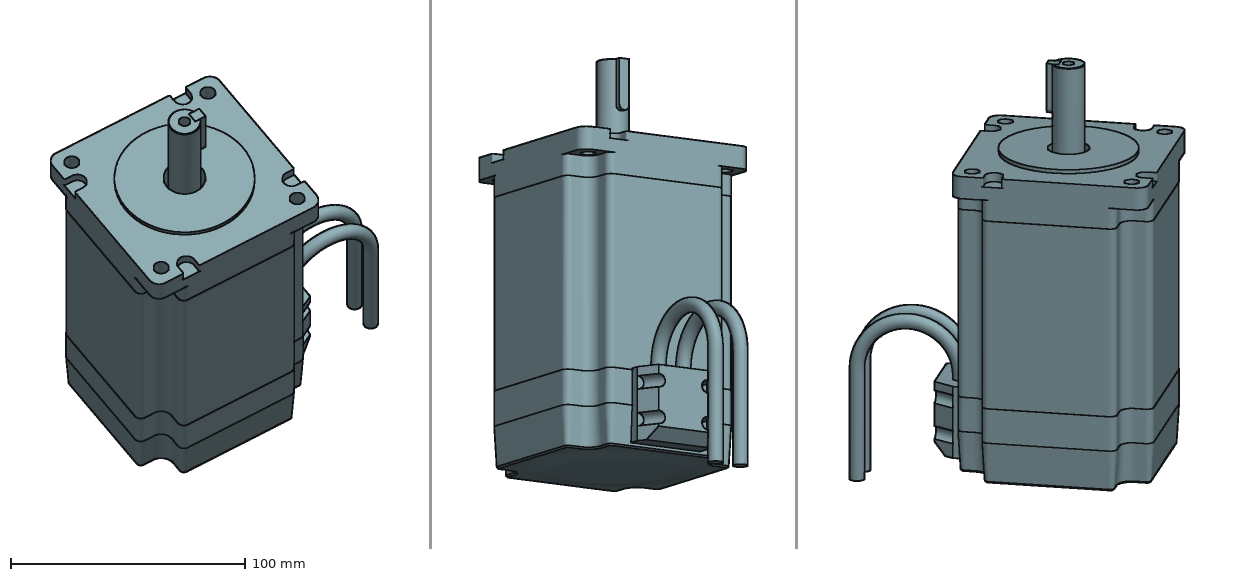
import cadquery as cq
import math

shaft_top = 39.7
boss_top = 1.7
flange_bottom = -10.0
stator_top = -19.3
stator_bottom = -103.7
cover_top = -119.1
cover_bottom = -137.5
cable_end = -151.2

body_width = 85.3
stator_width = 85.1
hole_spacing = 69.5
hole_diameter = 6.5
flange_corner_radius = 5.0
relief_radius = 5.3
wing_radius = 3.0
cover_rim = 0.5
cover_taper = 3.5
cover_edge_chamfer = 0.8

boss_diameter = 60.0
bore_diameter = 18.0
notch_width = 8.0
notch_length = 8.0
notch_depth = 4.0
notch_offset = 24.5
notch_edge_radius = 0.5

rear_boss_base_radius = 38.2
rear_boss_end_radius = 27.0
rear_boss_height = 1.1

shaft_diameter = 14.0
shaft_chamfer = 0.29
centre_hole_diameter = 5.0
centre_hole_depth = 9.5
drill_point_angle = 118
key_width = 5.0
key_height = 5.3
key_length = 22.5
key_floor = 3.8

connector_top = -103.0
connector_bottom = -135.3
connector_half_width = 17.5
connector_half_nose = 12.6
connector_shoulder = 46.8
connector_nose = 56.0
connector_chamfer = 5.3
groove_radius = 2.9
groove_levels = (-110.0, -126.0)

cable_diameter = 6.5
cable_offset = 6.3
cable_bend_radius = 22.5
bend_level = -101.4

hole_offset = hole_spacing / 2


def turn(x, y, angle):
    """Point (x, y) turned about the origin by an angle in radians."""
    return (
        x * math.cos(angle) - y * math.sin(angle),
        x * math.sin(angle) + y * math.cos(angle),
    )


def motor_profile(width, z):
    """Square section whose corners are scooped out around the mounting screws."""
    half = width / 2
    inner = hole_offset - relief_radius
    flat = inner - wing_radius
    tip = half - wing_radius
    mid = wing_radius * math.sin(math.pi / 4)
    scoop = hole_offset - relief_radius * math.sin(math.pi / 4)
    profile = cq.Workplane("XY", origin=(0, 0, z)).moveTo(-flat, half)
    for side in range(4):
        angle = -math.pi / 2 * side
        profile = (
            profile.lineTo(*turn(flat, half, angle))
            .threePointArc(turn(flat + mid, tip + mid, angle), turn(inner, tip, angle))
            .lineTo(*turn(inner, hole_offset, angle))
            .threePointArc(turn(scoop, scoop, angle), turn(hole_offset, inner, angle))
            .lineTo(*turn(tip, inner, angle))
            .threePointArc(turn(tip + mid, flat + mid, angle), turn(half, flat, angle))
        )
    return profile.close()


def make_front_housing():
    flange = (
        cq.Workplane("XY", origin=(0, 0, flange_bottom))
        .rect(body_width, body_width)
        .extrude(-flange_bottom)
        .edges("|Z")
        .fillet(flange_corner_radius)
    )
    boss = cq.Workplane("XY").circle(boss_diameter / 2).extrude(boss_top)
    neck = motor_profile(body_width, stator_top).extrude(flange_bottom - stator_top)
    housing = flange.union(boss).union(neck)

    screw_holes = (
        cq.Workplane("XY", origin=(0, 0, stator_top))
        .rect(hole_spacing, hole_spacing, forConstruction=True)
        .vertices()
        .circle(hole_diameter / 2)
        .extrude(-stator_top)
    )
    bore = (
        cq.Workplane("XY", origin=(0, 0, stator_top))
        .circle(bore_diameter / 2)
        .extrude(boss_top - stator_top)
    )
    housing = housing.cut(screw_holes).cut(bore)

    flange_half = body_width / 2
    notch_half = notch_width / 2
    mouth_half = notch_half + notch_edge_radius
    mouth_start = flange_half - notch_edge_radius
    arc_centre = flange_half - notch_length + notch_half
    corner_mid = notch_edge_radius * (1 - math.sin(math.pi / 4))
    notch = (
        cq.Workplane("XY", origin=(notch_offset, 0, -notch_depth))
        .moveTo(-notch_half, arc_centre)
        .threePointArc((0, flange_half - notch_length), (notch_half, arc_centre))
        .lineTo(notch_half, mouth_start)
        .threePointArc((notch_half + corner_mid, flange_half - corner_mid), (mouth_half, flange_half))
        .lineTo(-mouth_half, flange_half)
        .threePointArc((-notch_half - corner_mid, flange_half - corner_mid), (-notch_half, mouth_start))
        .close()
        .extrude(notch_depth)
    )
    for side in range(4):
        housing = housing.cut(notch.rotate((0, 0, 0), (0, 0, 1), 90 * side))
    return housing


def make_stator():
    return motor_profile(stator_width, stator_bottom).extrude(stator_top - stator_bottom)


def make_rear_housing():
    return motor_profile(body_width, cover_top).extrude(stator_bottom - cover_top)


def make_rear_cover():
    rim_bottom = cover_top - cover_rim
    rim = motor_profile(body_width, rim_bottom).extrude(cover_rim)
    shell = (
        motor_profile(body_width, rim_bottom)
        .extrude(cover_bottom - rim_bottom, taper=cover_taper)
        .faces("<Z")
        .chamfer(cover_edge_chamfer)
    )
    rear_boss = cq.Workplane(cq.Solid.makeCone(
        rear_boss_base_radius,
        rear_boss_end_radius,
        rear_boss_height,
        cq.Vector(0, 0, cover_bottom),
        cq.Vector(0, 0, -1),
    ))
    return rim.union(shell).union(rear_boss)


def make_key():
    """Key along the shaft, flat at the shaft end and round at its inner end."""
    round_radius = key_width / 2
    round_centre = shaft_top - key_length + round_radius
    return (
        cq.Workplane("XZ", origin=(0, key_floor, 0))
        .moveTo(-round_radius, shaft_top)
        .lineTo(-round_radius, round_centre)
        .threePointArc((0, round_centre - round_radius), (round_radius, round_centre))
        .lineTo(round_radius, shaft_top)
        .close()
        .extrude(-key_height)
    )


def make_shaft(key):
    shaft = (
        cq.Workplane("XY", origin=(0, 0, stator_top))
        .circle(shaft_diameter / 2)
        .extrude(shaft_top - stator_top)
        .faces(">Z")
        .chamfer(shaft_chamfer)
    )
    hole_radius = centre_hole_diameter / 2
    point_length = hole_radius / math.tan(math.radians(drill_point_angle / 2))
    hole_floor = shaft_top - centre_hole_depth
    centre_hole = (
        cq.Workplane("XZ")
        .moveTo(0, shaft_top)
        .lineTo(hole_radius, shaft_top)
        .lineTo(hole_radius, hole_floor)
        .lineTo(0, hole_floor - point_length)
        .close()
        .revolve(360, (0, 0, 0), (0, 1, 0))
    )
    return shaft.cut(centre_hole).cut(key)


def make_connector(*neighbours):
    """Plug on the back of the motor, with finger grooves across its slanted sides."""
    height = connector_top - connector_bottom
    plug = (
        cq.Workplane("XY", origin=(0, 0, connector_bottom))
        .polyline([
            (-connector_half_width, hole_offset),
            (-connector_half_width, connector_shoulder),
            (-connector_half_nose, connector_nose),
            (connector_half_nose, connector_nose),
            (connector_half_width, connector_shoulder),
            (connector_half_width, hole_offset),
        ])
        .close()
        .extrude(height)
        .faces(">Y")
        .edges("<Z")
        .chamfer(connector_chamfer)
    )
    slant_x = connector_half_width - connector_half_nose
    slant_y = connector_nose - connector_shoulder
    slant_length = math.hypot(slant_x, slant_y)
    beyond_shoulder = (
        cq.Workplane("XY", origin=(0, connector_shoulder + slant_y / 2, connector_bottom))
        .rect(2 * connector_half_width, slant_y)
        .extrude(height)
    )
    for level in groove_levels:
        for side in (-1, 1):
            groove = cq.Workplane(cq.Solid.makeCylinder(
                groove_radius,
                3 * slant_length,
                cq.Vector(
                    side * (connector_half_width + slant_x),
                    connector_shoulder - slant_y,
                    level,
                ),
                cq.Vector(-side * slant_x, slant_y, 0),
            ))
            plug = plug.cut(groove.intersect(beyond_shoulder))
    for neighbour in neighbours:
        plug = plug.cut(neighbour)
    return plug


def make_cable(x):
    """Cable that rises from the connector against the motor, bends over and hangs down."""
    inner_y = (body_width + cable_diameter) / 2
    middle_y = inner_y + cable_bend_radius
    outer_y = inner_y + 2 * cable_bend_radius
    path = (
        cq.Workplane("YZ", origin=(x, 0, 0))
        .moveTo(inner_y, connector_top)
        .lineTo(inner_y, bend_level)
        .threePointArc((middle_y, bend_level + cable_bend_radius), (outer_y, bend_level))
        .lineTo(outer_y, cable_end)
    )
    return (
        cq.Workplane("XY", origin=(x, inner_y, connector_top))
        .circle(cable_diameter / 2)
        .sweep(path)
    )


front_housing = make_front_housing()
stator = make_stator()
rear_housing = make_rear_housing()
rear_cover = make_rear_cover()
key = make_key()
shaft = make_shaft(key)
connector = make_connector(stator, rear_housing, rear_cover)
cables = [make_cable(side * cable_offset) for side in (-1, 1)]

result = cq.Compound.makeCompound([
    front_housing.val(),
    stator.val(),
    rear_housing.val(),
    rear_cover.val(),
    shaft.val(),
    key.val(),
    connector.val(),
    *[cable.val() for cable in cables],
])